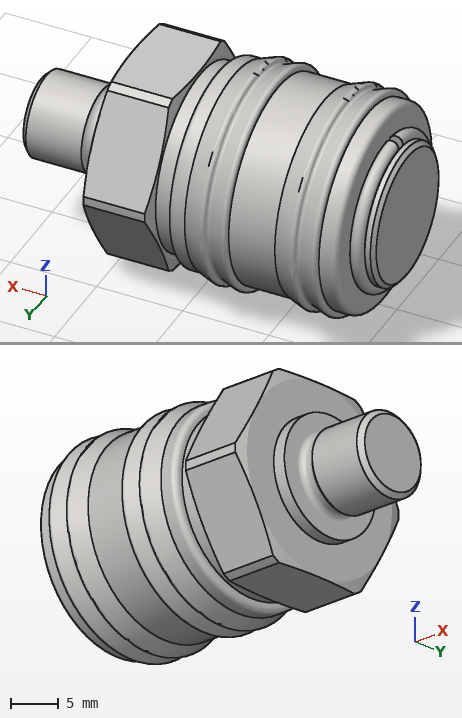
import cadquery as cq
import math


nose_radius = 16.02 / 2
nose_face_radius = 14.95 / 2
nose_chamfer_length = 0.42
ring_outer_radius = 18.0 / 2
groove_radius = 14.95 / 2
groove_start = 1.05

wire_diameter = ring_outer_radius - groove_radius
ring_gap_width = 1.0

sleeve_start = groove_start + wire_diameter
sleeve_end = 22.2
sleeve_radius = 23.3 / 2
sleeve_edge_round = 0.65

rib_crest_radius = 24.8 / 2
rib_crest_round = 0.42
rib_back_slope = math.radians(20)
rib_pair_starts = (4.65, 15.1)
ribs_per_pair = 2
rib_pitch = 2.5
rib_root_round = 0.3
root_tolerance = 0.02

collar_radius = 21.1 / 2

hex_start = 24.1
hex_end = 31.95
hex_across_flats = 22.0
hex_corner_radius = 24.8 / 2
hex_chamfer_angle = math.radians(15)

flange_end = 33.5
flange_radius = 13.9 / 2
undercut_radius = 8.5 / 2
undercut_round = 0.7
undercut_flat_length = 0.4
thread_start = 35.5
thread_end = 42.5
thread_radius = 9.75 / 2
thread_chamfer = 0.6


def turn(profile):
    """Close an XY half profile and revolve it about the X axis."""
    return profile.close().revolve(360, (0, 0, 0), (1, 0, 0))


def cylinder(start, end, radius):
    return cq.Workplane("YZ", origin=(start, 0, 0)).circle(radius).extrude(end - start)


def make_nose():
    return turn(
        cq.Workplane("XY")
        .lineTo(0, nose_face_radius)
        .lineTo(nose_chamfer_length, nose_radius)
        .lineTo(groove_start, nose_radius)
        .lineTo(groove_start, groove_radius)
        .lineTo(sleeve_start, groove_radius)
        .lineTo(sleeve_start, 0)
    )


def make_rib(start):
    """One rib: flat front, rounded crest and a straight back running down to the sleeve."""
    arc_x = start + rib_crest_round
    arc_y = rib_crest_radius - rib_crest_round
    back_x = arc_x + rib_crest_round * math.sin(rib_back_slope)
    back_y = arc_y + rib_crest_round * math.cos(rib_back_slope)
    foot_x = back_x + (back_y - sleeve_radius) / math.tan(rib_back_slope)
    return turn(
        cq.Workplane("XY")
        .moveTo(start, 0)
        .lineTo(start, arc_y)
        .threePointArc((arc_x, rib_crest_radius), (back_x, back_y))
        .lineTo(foot_x, sleeve_radius)
        .lineTo(foot_x, 0)
    )


def make_sleeve():
    sleeve = cylinder(sleeve_start, sleeve_end, sleeve_radius).edges().fillet(sleeve_edge_round)
    for pair_start in rib_pair_starts:
        for index in range(ribs_per_pair):
            sleeve = sleeve.union(make_rib(pair_start + index * rib_pitch))
    reach = 2 * rib_crest_radius
    for pair_start in rib_pair_starts:
        root_x = pair_start + rib_pitch
        zone_start = (root_x - root_tolerance, -reach, -reach)
        zone_end = (root_x + root_tolerance, reach, reach)
        root_zone = cq.selectors.BoxSelector(zone_start, zone_end)
        root_edge = sleeve.edges(root_zone).edges(cq.selectors.RadiusNthSelector(0))
        sleeve = root_edge.fillet(rib_root_round)
    return sleeve


def make_hexagon():
    """Hexagonal prism with flats facing +Z and -Z, trimmed by a turned blank."""
    across_corners = hex_across_flats / math.cos(math.radians(30))
    prism = (
        cq.Workplane("YZ", origin=(hex_start, 0, 0))
        .polygon(6, across_corners)
        .extrude(hex_end - hex_start)
    )
    face_radius = hex_across_flats / 2
    chamfer_length = (hex_corner_radius - face_radius) * math.tan(hex_chamfer_angle)
    blank = turn(
        cq.Workplane("XY")
        .moveTo(hex_start, 0)
        .lineTo(hex_start, face_radius)
        .lineTo(hex_start + chamfer_length, hex_corner_radius)
        .lineTo(hex_end - chamfer_length, hex_corner_radius)
        .lineTo(hex_end, face_radius)
        .lineTo(hex_end, 0)
    )
    return prism.intersect(blank)


def make_threaded_end():
    """Flange, undercut with a concave arc at each side, and the chamfered threaded end."""
    diagonal = math.sqrt(0.5)
    undercut_start = flange_end + undercut_round
    undercut_end = undercut_start + undercut_flat_length
    run = thread_start - undercut_end
    rise = thread_radius - undercut_radius
    exit_round = (run**2 + rise**2) / (2 * rise)
    half_sweep = math.asin(run / exit_round) / 2
    exit_middle = (
        undercut_end + exit_round * math.sin(half_sweep),
        undercut_radius + exit_round * (1 - math.cos(half_sweep)),
    )
    entry_middle = (
        undercut_start - undercut_round * diagonal,
        undercut_radius + undercut_round * (1 - diagonal),
    )
    return turn(
        cq.Workplane("XY")
        .moveTo(hex_end, 0)
        .lineTo(hex_end, flange_radius)
        .lineTo(flange_end, flange_radius)
        .lineTo(flange_end, undercut_radius + undercut_round)
        .threePointArc(entry_middle, (undercut_start, undercut_radius))
        .lineTo(undercut_end, undercut_radius)
        .threePointArc(exit_middle, (thread_start, thread_radius))
        .lineTo(thread_end - thread_chamfer, thread_radius)
        .lineTo(thread_end, thread_radius - thread_chamfer)
        .lineTo(thread_end, 0)
    )


def make_coupling():
    collar = cylinder(sleeve_end, hex_start, collar_radius)
    return make_nose().union(make_sleeve()).union(collar).union(make_hexagon()).union(make_threaded_end())


def make_snap_ring():
    """Round-wire ring with a gap at the top; one end of the gap lies on the XZ plane."""
    wire_radius = wire_diameter / 2
    ring_radius = groove_radius + wire_radius
    ring = (
        cq.Workplane("XZ")
        .center(groove_start + wire_radius, ring_radius)
        .circle(wire_radius)
        .revolve(360, (0, -ring_radius, 0), (1, -ring_radius, 0))
    )
    gap = (
        cq.Workplane("XY", origin=(groove_start, -ring_gap_width, 0))
        .box(wire_diameter, ring_gap_width, ring_outer_radius, centered=False)
    )
    return ring.cut(gap)


coupling = make_coupling().solids()
snap_ring = make_snap_ring().solids()

result = cq.Compound.makeCompound([coupling.val(), snap_ring.val()])